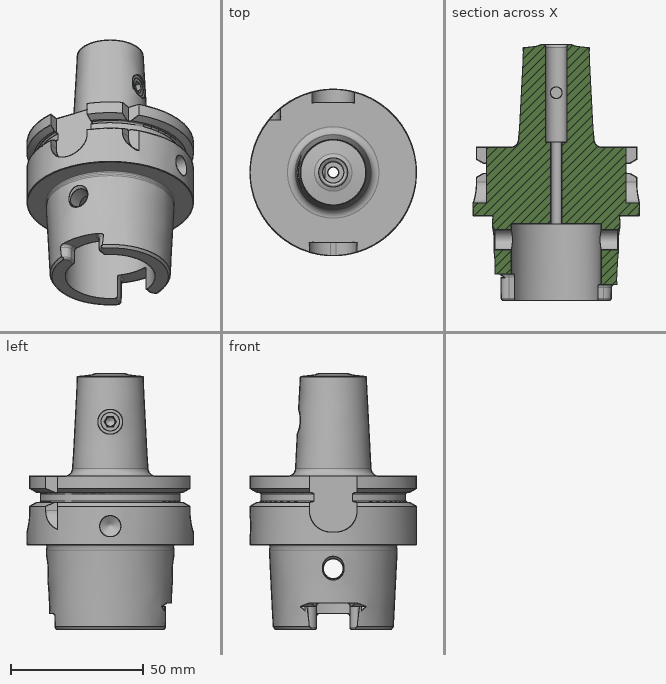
import cadquery as cq
import math


FLANGE_RADIUS = 31.5
FLANGE_HEIGHT = 26.0
FLANGE_CHAMFER = 0.2
GROOVE_CENTER_Z = 18.0
GROOVE_MOUTH_WIDTH = 6.75
GROOVE_NECK_WIDTH = 3.8
GROOVE_FLOOR_RADIUS = 27.4
GROOVE_CORNER_RADIUS = 0.6
GROOVE_FLANK_ANGLE = 30.0

SHANK_LENGTH = 32.0
SHANK_TAPER = 0.05
SHANK_TOP_RADIUS = 24.3
SHANK_END_CHAMFER = 1.1
SHANK_END_CHAMFER_WIDTH = 0.7
SHANK_ROOT_FILLET = 0.4
RELIEF_RADIUS = 24.0
RELIEF_BOTTOM_Z = -1.1
RELIEF_RAMP_HEIGHT = 0.8
CAVITY_RADIUS = 17.0
CAVITY_TOP_Z = -3.0
ACCESS_HOLE_RADIUS = 3.75
ACCESS_HOLE_CHAMFER = 0.75
ACCESS_HOLE_Z = -9.0

NOSE_TOP_Z = 64.9
NOSE_SHOULDER_Z = 63.7
NOSE_SHOULDER_CHAMFER = 0.2
NOSE_SHOULDER_RADIUS = 12.5
NOSE_BASE_RADIUS = 14.3
NOSE_FILLET_RADIUS = 3.0
COLLAR_BASE_RADIUS = 7.1
COLLAR_BASE_Z = 64.3
COLLAR_TOP_RADIUS = 5.5
BORE_RADIUS = 4.0
BORE_MOUTH_RADIUS = 5.1
BORE_MOUTH_DEPTH = 1.1
BORE_DEPTH = 37.0
COOLANT_HOLE_RADIUS = 2.0

SCREW_Z = 46.6
SCREW_SEAT_RADIUS = 4.7
SCREW_SEAT_X = -12.5
SCREW_RADIUS = 3.5
SCREW_EDGE_DEPTH = 0.15
HEX_SIDES = 6
HEX_ACROSS_FLATS = 4.0
HEX_DEPTH = 4.0
SOCKET_POINT_RADIUS = 1.75
SOCKET_POINT_DEPTH = 1.0
SCREW_TIP_RADIUS = 2.2
SCREW_TIP_X = -3.1
SCREW_TIP_ROOT_X = -4.5

SLOT_FLOOR_Y = 26.4
SLOT_CORNER_RADIUS = 8.0
SLOT_ARC_CENTER_Z = 12.9
FRONT_SLOT_WIDTH = 18.0
BACK_SLOT_WIDTH = 16.0
NOTCH_X = -19.9
NOTCH_Y = 19.9
NOTCH_ARC_CENTER_Z = 13.1

SIDE_HOLE_RADIUS = 4.0
SIDE_HOLE_Z = 7.1
SIDE_HOLE_DEPTH = 5.5
DRILL_POINT_ANGLE = 118.0

DRIVE_HALF_WIDTH = 6.3
DRIVE_FLAT_Y = 20.9
DRIVE_EDGE_RADIUS = 3.0
DRIVE_TOP_FILLET = 1.0
DRIVE_END_FILLET = 0.8
DRIVE_FLAT_HALF_WIDTH = 14.0
FRONT_DRIVE_TOP_Z = -22.0
BACK_DRIVE_TOP_Z = -26.0
UNDERCUT_RAMP_Y = -21.4
UNDERCUT_Y = -19.5
UNDERCUT_Z = -23.3
UNDERCUT_END_Z = -25.6
UNDERCUT_INNER_X = 10.6

CLEARANCE = 2.0


def shank_radius(z):
    return SHANK_TOP_RADIUS + SHANK_TAPER * z


def make_body():
    mouth = GROOVE_MOUTH_WIDTH / 2
    neck = GROOVE_NECK_WIDTH / 2
    neck_radius = FLANGE_RADIUS - (mouth - neck) / math.tan(math.radians(GROOVE_FLANK_ANGLE))
    corner = GROOVE_CORNER_RADIUS
    corner_radius = GROOVE_FLOOR_RADIUS + corner
    ramp_end_z = RELIEF_BOTTOM_Z - RELIEF_RAMP_HEIGHT
    fillet_top_z = FLANGE_HEIGHT + NOSE_FILLET_RADIUS
    return (
        cq.Workplane("XZ")
        .moveTo(0, -SHANK_LENGTH)
        .lineTo(shank_radius(-SHANK_LENGTH) - SHANK_END_CHAMFER_WIDTH, -SHANK_LENGTH)
        .lineTo(shank_radius(-SHANK_LENGTH + SHANK_END_CHAMFER), -SHANK_LENGTH + SHANK_END_CHAMFER)
        .lineTo(shank_radius(ramp_end_z), ramp_end_z)
        .lineTo(RELIEF_RADIUS, RELIEF_BOTTOM_Z)
        .lineTo(RELIEF_RADIUS, -SHANK_ROOT_FILLET)
        .radiusArc((RELIEF_RADIUS + SHANK_ROOT_FILLET, 0), SHANK_ROOT_FILLET)
        .lineTo(FLANGE_RADIUS - FLANGE_CHAMFER, 0)
        .lineTo(FLANGE_RADIUS, FLANGE_CHAMFER)
        .lineTo(FLANGE_RADIUS, GROOVE_CENTER_Z - mouth)
        .lineTo(neck_radius, GROOVE_CENTER_Z - neck)
        .lineTo(corner_radius, GROOVE_CENTER_Z - neck)
        .radiusArc((GROOVE_FLOOR_RADIUS, GROOVE_CENTER_Z - neck + corner), corner)
        .lineTo(GROOVE_FLOOR_RADIUS, GROOVE_CENTER_Z + neck - corner)
        .radiusArc((corner_radius, GROOVE_CENTER_Z + neck), corner)
        .lineTo(neck_radius, GROOVE_CENTER_Z + neck)
        .lineTo(FLANGE_RADIUS, GROOVE_CENTER_Z + mouth)
        .lineTo(FLANGE_RADIUS, FLANGE_HEIGHT)
        .lineTo(NOSE_BASE_RADIUS + NOSE_FILLET_RADIUS, FLANGE_HEIGHT)
        .radiusArc((NOSE_BASE_RADIUS, fillet_top_z), NOSE_FILLET_RADIUS)
        .lineTo(NOSE_SHOULDER_RADIUS, NOSE_SHOULDER_Z - NOSE_SHOULDER_CHAMFER)
        .lineTo(NOSE_SHOULDER_RADIUS - NOSE_SHOULDER_CHAMFER, NOSE_SHOULDER_Z)
        .lineTo(COLLAR_BASE_RADIUS, COLLAR_BASE_Z)
        .lineTo(COLLAR_TOP_RADIUS, NOSE_TOP_Z)
        .lineTo(0, NOSE_TOP_Z)
        .close()
        .revolve(360, (0, 0, 0), (0, 1, 0))
    )


def make_axial_bore():
    """Tool bore with its flared mouth, coolant hole and shank cavity."""
    bore_floor_z = NOSE_TOP_Z - BORE_DEPTH
    return (
        cq.Workplane("XZ")
        .moveTo(0, -SHANK_LENGTH)
        .lineTo(CAVITY_RADIUS, -SHANK_LENGTH)
        .lineTo(CAVITY_RADIUS, CAVITY_TOP_Z)
        .lineTo(COOLANT_HOLE_RADIUS, CAVITY_TOP_Z)
        .lineTo(COOLANT_HOLE_RADIUS, bore_floor_z)
        .lineTo(BORE_RADIUS, bore_floor_z)
        .lineTo(BORE_RADIUS, NOSE_TOP_Z - BORE_MOUTH_DEPTH)
        .radiusArc((BORE_MOUTH_RADIUS, NOSE_TOP_Z), BORE_MOUTH_DEPTH)
        .lineTo(0, NOSE_TOP_Z)
        .close()
        .revolve(360, (0, 0, 0), (0, 1, 0))
    )


def make_access_holes():
    """Cross hole through the shank, countersunk at both ends."""
    half_length = SHANK_TOP_RADIUS + CLEARANCE
    hole = (
        cq.Workplane("XZ", origin=(0, 0, ACCESS_HOLE_Z))
        .circle(ACCESS_HOLE_RADIUS)
        .extrude(half_length, both=True)
    )
    mouth_y = shank_radius(ACCESS_HOLE_Z)
    sink_radius = ACCESS_HOLE_RADIUS + ACCESS_HOLE_CHAMFER
    for side in (-1, 1):
        sink = cq.Solid.makeCone(
            sink_radius + CLEARANCE,
            ACCESS_HOLE_RADIUS,
            ACCESS_HOLE_CHAMFER + CLEARANCE,
            cq.Vector(0, side * (mouth_y + CLEARANCE), ACCESS_HOLE_Z),
            cq.Vector(0, -side, 0),
        )
        hole = hole.union(cq.Workplane(sink))
    return hole


def make_flange_slot(width, side):
    """Radial slot open at the flange top, with rounded lower corners."""
    half = width / 2
    corner = SLOT_CORNER_RADIUS
    flat_half = half - corner
    bottom_z = SLOT_ARC_CENTER_Z - corner
    open_z = FLANGE_HEIGHT + CLEARANCE
    profile = (
        cq.Workplane("XZ", origin=(0, side * SLOT_FLOOR_Y, 0))
        .moveTo(-half, open_z)
        .lineTo(-half, SLOT_ARC_CENTER_Z)
        .radiusArc((-flat_half, bottom_z), -corner)
    )
    if flat_half > 0:
        profile = profile.lineTo(flat_half, bottom_z)
    profile = profile.radiusArc((half, SLOT_ARC_CENTER_Z), -corner).lineTo(half, open_z).close()
    return profile.extrude(-side * FLANGE_RADIUS)


def make_notch():
    """Corner notch whose inner wall runs out along an arc."""
    radius = SLOT_CORNER_RADIUS
    center_x = NOTCH_X - radius
    return (
        cq.Workplane("XZ", origin=(0, NOTCH_Y, 0))
        .moveTo(NOTCH_X, FLANGE_HEIGHT + CLEARANCE)
        .lineTo(NOTCH_X, NOTCH_ARC_CENTER_Z)
        .radiusArc((center_x, NOTCH_ARC_CENTER_Z - radius), radius)
        .lineTo(center_x, FLANGE_HEIGHT + CLEARANCE)
        .close()
        .extrude(-FLANGE_RADIUS)
    )


def make_side_hole():
    """Blind drilled hole entering the flange from -X."""
    point_height = SIDE_HOLE_RADIUS / math.tan(math.radians(DRILL_POINT_ANGLE / 2))
    return (
        cq.Workplane("XY", origin=(-FLANGE_RADIUS, 0, SIDE_HOLE_Z))
        .moveTo(-CLEARANCE, 0)
        .lineTo(-CLEARANCE, SIDE_HOLE_RADIUS)
        .lineTo(SIDE_HOLE_DEPTH, SIDE_HOLE_RADIUS)
        .lineTo(SIDE_HOLE_DEPTH + point_height, 0)
        .close()
        .revolve(360, (0, 0, 0), (1, 0, 0))
    )


def make_drive_slot(top_z):
    """Slot through the +Y wall whose sides round off onto an outer flat."""
    flat_start_x = DRIVE_HALF_WIDTH + DRIVE_EDGE_RADIUS
    wall_end_y = DRIVE_FLAT_Y - DRIVE_EDGE_RADIUS
    outer_y = SHANK_TOP_RADIUS + CLEARANCE
    return (
        cq.Workplane("XY", origin=(0, 0, -SHANK_LENGTH - CLEARANCE))
        .moveTo(-DRIVE_HALF_WIDTH, 0)
        .lineTo(DRIVE_HALF_WIDTH, 0)
        .lineTo(DRIVE_HALF_WIDTH, wall_end_y)
        .radiusArc((flat_start_x, DRIVE_FLAT_Y), DRIVE_EDGE_RADIUS)
        .lineTo(DRIVE_FLAT_HALF_WIDTH, DRIVE_FLAT_Y)
        .lineTo(DRIVE_FLAT_HALF_WIDTH, outer_y)
        .lineTo(-DRIVE_FLAT_HALF_WIDTH, outer_y)
        .lineTo(-DRIVE_FLAT_HALF_WIDTH, DRIVE_FLAT_Y)
        .lineTo(-flat_start_x, DRIVE_FLAT_Y)
        .radiusArc((-DRIVE_HALF_WIDTH, wall_end_y), DRIVE_EDGE_RADIUS)
        .close()
        .extrude(top_z + SHANK_LENGTH + CLEARANCE)
        .faces(">Z")
        .edges()
        .fillet(DRIVE_TOP_FILLET)
    )


def make_drive_undercut():
    """Ramped undercut along X at the top of the -Y slot, with a lower flank at each end."""
    outer_y = -SHANK_TOP_RADIUS - CLEARANCE
    ramp = (
        cq.Workplane("YZ")
        .moveTo(outer_y, FRONT_DRIVE_TOP_Z)
        .lineTo(UNDERCUT_RAMP_Y, FRONT_DRIVE_TOP_Z)
        .lineTo(UNDERCUT_Y, UNDERCUT_Z)
        .lineTo(outer_y, UNDERCUT_Z)
        .close()
        .extrude(DRIVE_FLAT_HALF_WIDTH, both=True)
    )
    flank = (
        cq.Workplane("YZ", origin=(UNDERCUT_INNER_X, 0, 0))
        .moveTo(outer_y, UNDERCUT_Z)
        .lineTo(UNDERCUT_Y, UNDERCUT_Z)
        .lineTo(-DRIVE_FLAT_Y, UNDERCUT_END_Z)
        .lineTo(outer_y, UNDERCUT_END_Z)
        .close()
        .extrude(DRIVE_FLAT_HALF_WIDTH - UNDERCUT_INNER_X)
    )
    return ramp.union(flank).union(flank.mirror("YZ"))


def ease_drive_slot_edges(body):
    """Round the drive slot walls where they meet the shank's end face."""
    def is_slot_edge(edge):
        middle_x = abs(edge.positionAt(0.5).x)
        return DRIVE_HALF_WIDTH - CLEARANCE < middle_x < DRIVE_HALF_WIDTH + DRIVE_EDGE_RADIUS

    return body.faces("<Z").edges().filter(is_slot_edge).fillet(DRIVE_END_FILLET)


def x_cylinder(radius, start_x, end_x):
    """Cylinder on the clamping screw's axis."""
    return cq.Workplane("YZ", origin=(start_x, 0, SCREW_Z)).circle(radius).extrude(end_x - start_x)


def fit_clamping_screw(body):
    """Spot face, screw rim, hex socket and the tip that reaches into the bore."""
    body = body.cut(x_cylinder(SCREW_SEAT_RADIUS, -NOSE_BASE_RADIUS - CLEARANCE, SCREW_SEAT_X))
    body = body.cut(x_cylinder(SCREW_RADIUS, SCREW_SEAT_X, SCREW_SEAT_X + SCREW_EDGE_DEPTH))
    hex_corner_diameter = HEX_ACROSS_FLATS / math.cos(math.pi / HEX_SIDES)
    socket = (
        cq.Workplane("YZ", origin=(SCREW_SEAT_X, 0, SCREW_Z))
        .polygon(HEX_SIDES, hex_corner_diameter)
        .extrude(HEX_DEPTH)
    )
    point = cq.Solid.makeCone(
        SOCKET_POINT_RADIUS,
        0,
        SOCKET_POINT_DEPTH,
        cq.Vector(SCREW_SEAT_X + HEX_DEPTH, 0, SCREW_Z),
        cq.Vector(1, 0, 0),
    )
    body = body.cut(socket.union(cq.Workplane(point)))
    return body.union(x_cylinder(SCREW_TIP_RADIUS, SCREW_TIP_ROOT_X, SCREW_TIP_X))


result = make_body().cut(make_axial_bore())
result = result.cut(make_access_holes())
result = result.cut(make_flange_slot(FRONT_SLOT_WIDTH, -1))
result = result.cut(make_flange_slot(BACK_SLOT_WIDTH, 1))
result = result.cut(make_notch())
result = result.cut(make_side_hole())
result = result.cut(make_drive_slot(BACK_DRIVE_TOP_Z))
result = result.cut(make_drive_slot(FRONT_DRIVE_TOP_Z).rotate((0, 0, 0), (0, 0, 1), 180))
result = result.cut(make_drive_undercut())
result = ease_drive_slot_edges(result)
result = fit_clamping_screw(result)